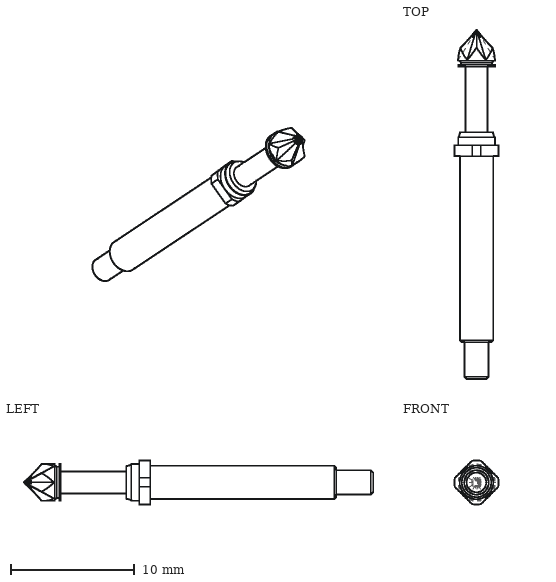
import cadquery as cq
import math

length = 28.3
tip_y = length / 2

head_radius = 1.5
point_count = 6
ridge_mid_radius = 0.68
ridge_mid_depth = 0.7
ridge_end_radius = 1.87
ridge_end_depth = 1.75
valley_end_radius = 1.65
valley_depth = 2.43
rim_depth = 2.52
neck_radius = 1.4
taper_end_depth = 2.65
groove_radius = 1.27
flange_depth = 2.85
head_depth = 3.0

plunger_radius = 0.9

barrel_radius = 1.35
barrel_depth = 8.3
nose_depth = 8.72
nose_tip_radius = 1.33
nose_base_radius = 1.45
press_ring_radius = 1.5
shoulder_depth = 25.3
barrel_chamfer = 0.17

collar_depth = 9.35
collar_thickness = 0.9
collar_across_flats = 2 * press_ring_radius
collar_corner_diameter = 3.6

tail_radius = 1.0
tail_chamfer = 0.2


def cylinder(radius, start_depth, end_depth):
    """Round section between two depths below the tip."""
    plane = cq.Workplane("XZ", origin=(0, tip_y - start_depth, 0))
    return plane.circle(radius).extrude(end_depth - start_depth)


def revolved(profile):
    """Solid of revolution about Y from (radius, depth) points."""
    points = [(radius, tip_y - depth) for radius, depth in profile]
    return cq.Workplane("XY").polyline(points).close().revolve(360, (0, 0, 0), (0, 1, 0))


def crown_point(radius, depth, angle):
    """Point at a radius and depth, with the angle measured about Y from +Z."""
    return cq.Vector(radius * math.sin(angle), tip_y - depth, radius * math.cos(angle))


def star_crown():
    """Oversize star with concave ridges and straight valleys, one ridge pointing to +Z."""
    tip = crown_point(0, 0, 0)
    valley_end_depth = valley_depth * valley_end_radius / head_radius
    corner_count = 2 * point_count
    edges = []
    upper = []
    lower = []
    for i in range(corner_count):
        angle = math.pi * i / point_count
        if i % 2 == 0:
            end = crown_point(ridge_end_radius, ridge_end_depth, angle)
            middle = crown_point(ridge_mid_radius, ridge_mid_depth, angle)
            edges.append(cq.Edge.makeThreePointArc(tip, middle, end))
        else:
            end = crown_point(valley_end_radius, valley_end_depth, angle)
            edges.append(cq.Edge.makeLine(tip, end))
        upper.append(end)
        lower.append(cq.Vector(end.x, tip_y - head_depth, end.z))

    faces = [cq.Face.makeFromWires(cq.Wire.makePolygon(lower, close=True))]
    for i in range(corner_count):
        faces.append(cq.Face.makeRuledSurface(edges[i - 1], edges[i]))
        wall = cq.Wire.makePolygon([upper[i - 1], upper[i], lower[i], lower[i - 1]], close=True)
        faces.append(cq.Face.makeFromWires(wall))
    return cq.Workplane(cq.Solid.makeSolid(cq.Shell.makeShell(faces)))


def make_head():
    crown = star_crown().intersect(cylinder(head_radius, 0, rim_depth))
    neck = revolved([
        (0, rim_depth),
        (neck_radius, rim_depth),
        (groove_radius, taper_end_depth),
        (groove_radius, flange_depth),
        (head_radius, flange_depth),
        (head_radius, head_depth),
        (0, head_depth),
    ])
    return crown.union(neck)


def make_barrel():
    return revolved([
        (0, barrel_depth),
        (nose_tip_radius, barrel_depth),
        (nose_base_radius, nose_depth),
        (press_ring_radius, nose_depth),
        (press_ring_radius, collar_depth),
        (barrel_radius, collar_depth),
        (barrel_radius, shoulder_depth - barrel_chamfer),
        (barrel_radius - barrel_chamfer, shoulder_depth),
        (tail_radius, shoulder_depth),
        (tail_radius, length - tail_chamfer),
        (tail_radius - tail_chamfer, length),
        (0, length),
    ])


def make_collar():
    plane = cq.Workplane("XZ", origin=(0, tip_y - collar_depth, 0))
    square = plane.transformed(rotate=(0, 0, 45)).rect(collar_across_flats, collar_across_flats)
    corners = cylinder(collar_corner_diameter / 2, collar_depth, collar_depth + collar_thickness)
    return square.extrude(collar_thickness).intersect(corners)


plunger = cylinder(plunger_radius, head_depth, barrel_depth)
result = make_head().union(plunger).union(make_barrel()).union(make_collar())